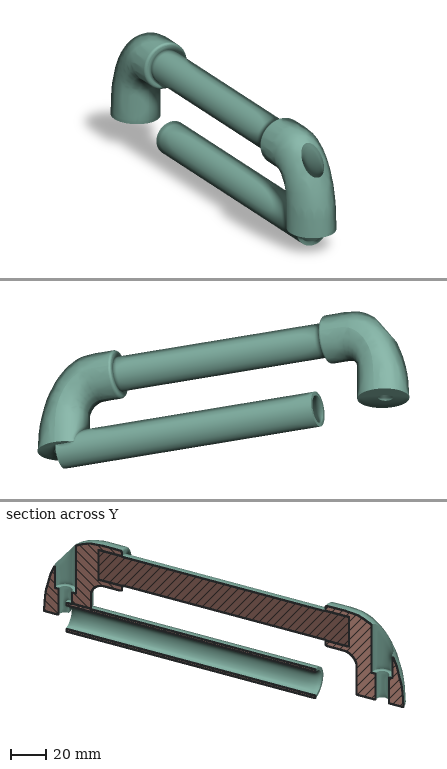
import cadquery as cq
import math

handle_length = 227.5
elbow_height = 56.0
grip_diameter = 20.0
grip_length = 158.0

collar_diameter = 28.0
collar_end = 49.5
collar_lip_radius = 1.4
base_length = 30.0
inner_bend_radius = 8.2
outer_bend_reach = 34.5
leg_outer_angle = 20.0
bend_steps = 4

screw_hole_diameter = 8.5
counterbore_diameter = 13.0
counterbore_floor = 18.2
hole_position = 13.7

tube_diameter = 20.3
tube_bore = 16.0
tube_length = 158.0
tube_end_inset = 14.0
tube_end = handle_length - tube_end_inset

grip_height = elbow_height - collar_diameter / 2
grip_start = (handle_length - grip_length) / 2
bend_centre_x = base_length + inner_bend_radius
bend_centre_z = elbow_height - collar_diameter - inner_bend_radius


def rod(diameter, start, end, height):
    """Solid cylinder along X."""
    return cq.Workplane("YZ", origin=(start, 0, height)).circle(diameter / 2).extrude(end - start)


def inner_point(angle):
    """Point on the tight side of the bend."""
    return (
        bend_centre_x - inner_bend_radius * math.cos(angle),
        bend_centre_z + inner_bend_radius * math.sin(angle),
    )


def outer_point(angle):
    """Point on the wide, elliptical side of the bend, which starts at the base."""
    return (
        outer_bend_reach * (1 - math.cos(angle)),
        elbow_height * math.sin(angle),
    )


def oval_section(outer, inner):
    """Elliptical wire across the elbow, from its outer to its inner side."""
    across_x = inner[0] - outer[0]
    across_z = inner[1] - outer[1]
    centre = ((outer[0] + inner[0]) / 2, 0, (outer[1] + inner[1]) / 2)
    plane = cq.Plane(origin=centre, xDir=(across_x, 0, across_z), normal=(-across_z, 0, across_x))
    half_across = math.hypot(across_x, across_z) / 2
    return cq.Workplane(plane).ellipse(half_across, collar_diameter / 2).wires().val()


def elbow_sections():
    """Sections at the base, round the bend and at the collar face."""
    sections = [oval_section(outer_point(0), (base_length, 0))]
    for step in range(bend_steps + 1):
        share = step / bend_steps
        outer_angle = math.radians(leg_outer_angle + (90 - leg_outer_angle) * share)
        inner_angle = math.radians(90 * share)
        sections.append(oval_section(outer_point(outer_angle), inner_point(inner_angle)))
    collar_bottom = elbow_height - collar_diameter
    sections.append(oval_section((collar_end, elbow_height), (collar_end, collar_bottom)))
    return sections


def make_elbow():
    """Left elbow: lofted body with a rounded lip, grip socket and counterbored hole."""
    body = cq.occ_impl.shapes.loft(elbow_sections(), cap=True)
    elbow = cq.Workplane(body)
    elbow = elbow.faces(">X").edges().fillet(collar_lip_radius)
    socket = rod(grip_diameter, grip_start, collar_end, grip_height)
    hole = cq.Workplane("XY").center(hole_position, 0).circle(screw_hole_diameter / 2).extrude(elbow_height)
    counterbore = (
        cq.Workplane("XY", origin=(hole_position, 0, counterbore_floor))
        .circle(counterbore_diameter / 2)
        .extrude(elbow_height)
    )
    return elbow.cut(socket).cut(hole).cut(counterbore)


left_elbow = make_elbow()
tube_envelope = rod(tube_diameter, tube_end - tube_length, tube_end, 0)
right_elbow = left_elbow.mirror("YZ", (handle_length / 2, 0, 0)).cut(tube_envelope)

grip = rod(grip_diameter, grip_start, grip_start + grip_length, grip_height)

tube = tube_envelope.cut(rod(tube_bore, tube_end - tube_length, tube_end, 0))

result = cq.Compound.makeCompound([
    left_elbow.solids().val(),
    right_elbow.solids().val(),
    grip.val(),
    tube.solids().val(),
])